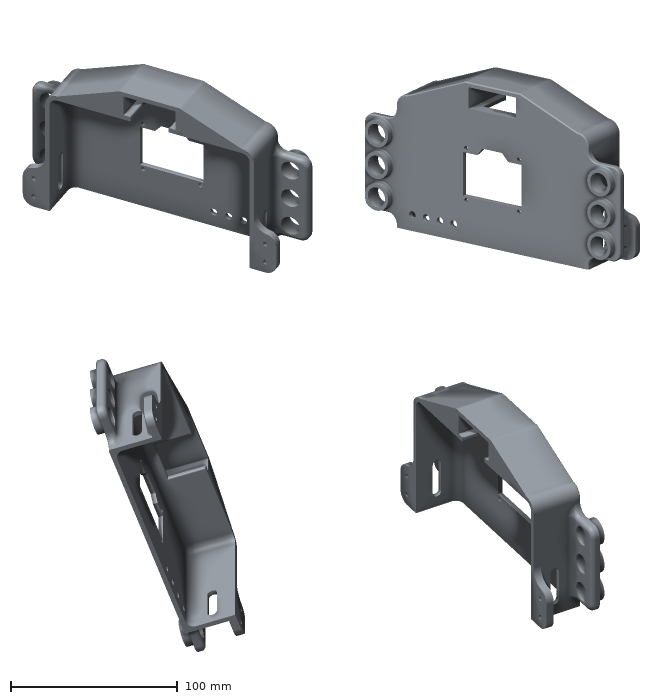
import cadquery as cq
import math

depth = 33.0
height = 102.0
half_width = 70.0
wall = 3.0
inner_radius = 5.0
outer_radius = inner_radius + wall
shoulder_height = 85.2
ceiling_height = shoulder_height - wall
roof_half_flat = 20.0
roof_blend = 5.0
shoulder_blend = 3.3
rear_edge_radius = 1.0

window_half_width = 17.3
window_bottom = 85.4
window_top = height - wall
notch_half_width = 12.8
notch_lip = 0.5
notch_back = 23.8
notch_edge_radius = 1.0

display_half_width = 21.2
display_bottom = 29.5
display_top = 57.1
display_tab_top = 62.0
display_tab_half_base = 11.3
display_tab_half_top = 7.0
display_hole_diameter = 2.8
display_hole_x = 19.2
display_hole_heights = (27.0, 59.9)
button_diameter = 4.6
button_first_x = 28.0
button_pitch = 10.0
button_count = 4
button_z = 10.2

slot_width = 6.0
slot_length = 26.0
slot_y = 14.7
slot_z = 20.3

lug_thickness = 5.0
lug_reach = 85.0
lug_radius = 7.5
lug_root_radius = 10.0
lug_hole_diameter = 3.0
lug_hole_heights = (lug_radius, 20.6)

ear_reach = 93.0
ear_thickness = 6.0
ear_mid_z = 38.5
ear_half_height = 30.0
ear_corner_radius = 6.0
ear_root_radius = 6.5
ear_edge_radius = 3.0
boss_x = 81.0
boss_pitch = 20.0
boss_length = 5.0
boss_diameter = 17.0
boss_bore = 12.5
boss_base_radius = 1.0

pick_margin = 0.2


def front_plane(y):
    """Sketch plane at the given Y, with local axes along X and Z and normal along -Y."""
    return cq.Workplane("XZ", origin=(0, y, 0))


def box(x_min, x_max, y_min, y_max, z_min, z_max):
    return cq.Workplane("XY").box(
        x_max - x_min, y_max - y_min, z_max - z_min, centered=False
    ).translate((x_min, y_min, z_min))


def make_pins(centers, diameter, y_min, y_max):
    """Cylinders along Y at the given (X, Z) centers."""
    return front_plane(y_min).pushPoints(centers).circle(diameter / 2).extrude(y_min - y_max)


def both_sides(solid):
    return solid.union(solid.mirror("YZ"))


def make_outer_block():
    lower_box = box(-half_width, half_width, 0, depth, 0, shoulder_height)
    lower_box = lower_box.edges("|Y and >Z").fillet(outer_radius)
    shoulder_x = half_width - outer_radius
    beam = (
        front_plane(0)
        .polyline([
            (-shoulder_x, shoulder_height),
            (-roof_half_flat, height),
            (roof_half_flat, height),
            (shoulder_x, shoulder_height),
            (shoulder_x, ceiling_height),
            (-shoulder_x, ceiling_height),
        ])
        .close()
        .extrude(-depth)
    )
    beam = beam.edges("|Y and >Z").fillet(roof_blend)
    block = lower_box.union(beam)
    for side in (-1, 1):
        shoulder = cq.selectors.NearestToPointSelector(
            (side * shoulder_x, depth / 2, shoulder_height)
        )
        block = block.edges("|Y").edges(shoulder).fillet(shoulder_blend)
    return block


def make_cavity():
    """Inside of the shell, running out past the open front and bottom."""
    inner_half = half_width - wall
    cavity = box(-inner_half, inner_half, -depth, depth - wall, -height, ceiling_height)
    cavity = cavity.edges("|Y and >Z").fillet(inner_radius)
    return cavity.faces(">Y").edges("not <Z").fillet(inner_radius)


def make_ear():
    """One ear on the +X side, its root carried into the side wall."""
    top = ear_mid_z + ear_half_height
    bottom = ear_mid_z - ear_half_height
    root_x = half_width - 2 * ear_edge_radius
    past_root = ear_root_radius + ear_edge_radius / 2
    diagonal = 1 - math.sqrt(0.5)
    corner_mid = ear_corner_radius * diagonal
    root_mid = ear_root_radius * diagonal
    ear = (
        front_plane(depth)
        .moveTo(root_x, bottom - past_root)
        .lineTo(half_width, bottom - past_root)
        .lineTo(half_width, bottom - ear_root_radius)
        .threePointArc(
            (half_width + root_mid, bottom - root_mid), (half_width + ear_root_radius, bottom)
        )
        .lineTo(ear_reach - ear_corner_radius, bottom)
        .threePointArc(
            (ear_reach - corner_mid, bottom + corner_mid), (ear_reach, bottom + ear_corner_radius)
        )
        .lineTo(ear_reach, top - ear_corner_radius)
        .threePointArc(
            (ear_reach - corner_mid, top - corner_mid), (ear_reach - ear_corner_radius, top)
        )
        .lineTo(half_width + ear_root_radius, top)
        .threePointArc(
            (half_width + root_mid, top + root_mid), (half_width, top + ear_root_radius)
        )
        .lineTo(half_width, top + past_root)
        .lineTo(root_x, top + past_root)
        .close()
        .extrude(ear_thickness)
    )
    front_rim = cq.selectors.BoxSelector(
        (half_width - pick_margin, 0, -height),
        (ear_reach + pick_margin, depth - ear_thickness + pick_margin, height),
    )
    ear = ear.edges(front_rim).fillet(ear_edge_radius)
    return ear.intersect(box(0, ear_reach, 0, depth, 0, height))


def round_ear_roots(body):
    """Round the corner between the front face of each ear and the side wall."""
    ear_front = depth - ear_thickness
    for side in (-1, 1):
        root = cq.selectors.BoxSelector(
            (side * half_width - pick_margin, ear_front - pick_margin, ear_mid_z - 1.9),
            (side * half_width + pick_margin, ear_front + pick_margin, ear_mid_z + 1.9),
        )
        body = body.edges(root).fillet(ear_edge_radius)
    return body


def round_rear_outline(body):
    """Round the outer rear edge everywhere except along the flat bottom."""
    return body.faces(">Y").edges("not <Z").fillet(rear_edge_radius)


def add_bosses(body):
    """Tubular bosses behind the ears, with rounded bases and bores through the ears."""
    centers = [(boss_x, ear_mid_z + i * boss_pitch) for i in (-1, 0, 1)]
    bosses = make_pins(centers, boss_diameter, depth - ear_thickness / 2, depth + boss_length)
    body = body.union(both_sides(bosses))
    half = boss_diameter / 2 + pick_margin
    for x, z in centers:
        for center_x in (-x, x):
            base = cq.selectors.BoxSelector(
                (center_x - half, depth - pick_margin, z - half),
                (center_x + half, depth + pick_margin, z + half),
                boundingbox=True,
            )
            body = body.edges(base).fillet(boss_base_radius)
    bores = make_pins(centers, boss_bore, depth - ear_thickness, depth + boss_length)
    return body.cut(both_sides(bores))


def make_notch(y_min, y_max):
    return box(
        -notch_half_width, notch_half_width, y_min, y_max, ceiling_height, window_bottom
    )


def make_roof_openings(body):
    """Window through the whole depth, with a notch below it that opens into the cavity.

    The sides and back of the notch have rounded rims; its thin front lip stays square.
    """
    window = box(-window_half_width, window_half_width, 0, depth, window_bottom, window_top)
    body = body.cut(window).cut(make_notch(notch_lip, notch_back))
    notch_rim = cq.selectors.BoxSelector(
        (-notch_half_width - pick_margin, 2 * notch_lip, ceiling_height - pick_margin),
        (notch_half_width + pick_margin, notch_back + pick_margin, window_bottom + pick_margin),
    )
    body = body.edges(notch_rim).edges("not |Z").fillet(notch_edge_radius)
    return body.cut(make_notch(0, notch_lip))


def make_lug():
    """Lug on the +X side; an S-curve of two tangent arcs joins its tip to the side wall."""
    tip_x = lug_reach - lug_radius
    tip_z = lug_hole_heights[1]
    root_x = half_width + lug_root_radius
    centers_apart = lug_radius + lug_root_radius
    root_z = tip_z + math.sqrt(centers_apart**2 - (root_x - tip_x) ** 2)
    slope = math.atan2(root_z - tip_z, root_x - tip_x)

    def on_tip(angle):
        return (tip_x + lug_radius * math.cos(angle), tip_z + lug_radius * math.sin(angle))

    def on_root(angle):
        return (
            root_x - lug_root_radius * math.cos(angle),
            root_z - lug_root_radius * math.sin(angle),
        )

    inside_x = half_width - wall
    lug = (
        front_plane(0)
        .moveTo(inside_x, 0)
        .lineTo(lug_reach, 0)
        .lineTo(*on_tip(0))
        .threePointArc(on_tip(slope / 2), on_tip(slope))
        .threePointArc(on_root(slope / 2), on_root(0))
        .lineTo(inside_x, root_z)
        .close()
        .extrude(-lug_thickness)
    )
    lug = lug.edges("|Y and >X and <Z").fillet(lug_radius)
    holes = [(tip_x, z) for z in lug_hole_heights]
    return lug.cut(make_pins(holes, lug_hole_diameter, 0, lug_thickness))


def make_display_opening():
    """Rectangular opening with a tapered tab on top, and four screw holes around it."""
    outline = [
        (-display_half_width, display_bottom),
        (-display_half_width, display_top),
        (-display_tab_half_base, display_top),
        (-display_tab_half_top, display_tab_top),
        (display_tab_half_top, display_tab_top),
        (display_tab_half_base, display_top),
        (display_half_width, display_top),
        (display_half_width, display_bottom),
    ]
    opening = front_plane(0).polyline(outline).close().extrude(-depth)
    screws = [(side * display_hole_x, z) for side in (-1, 1) for z in display_hole_heights]
    return opening.union(make_pins(screws, display_hole_diameter, 0, depth))


def make_button_holes():
    centers = [(button_first_x + i * button_pitch, button_z) for i in range(button_count)]
    return make_pins(centers, button_diameter, 0, depth)


def make_side_slots():
    return (
        cq.Workplane("YZ", origin=(0, slot_y, slot_z))
        .slot2D(slot_length, slot_width, 90)
        .extrude(half_width, both=True)
    )


body = both_sides(make_ear()).union(make_outer_block()).cut(make_cavity())
body = round_rear_outline(round_ear_roots(body))
body = add_bosses(body)
body = make_roof_openings(body)
body = body.union(both_sides(make_lug()))
result = body.cut(make_display_opening()).cut(make_button_holes()).cut(make_side_slots())